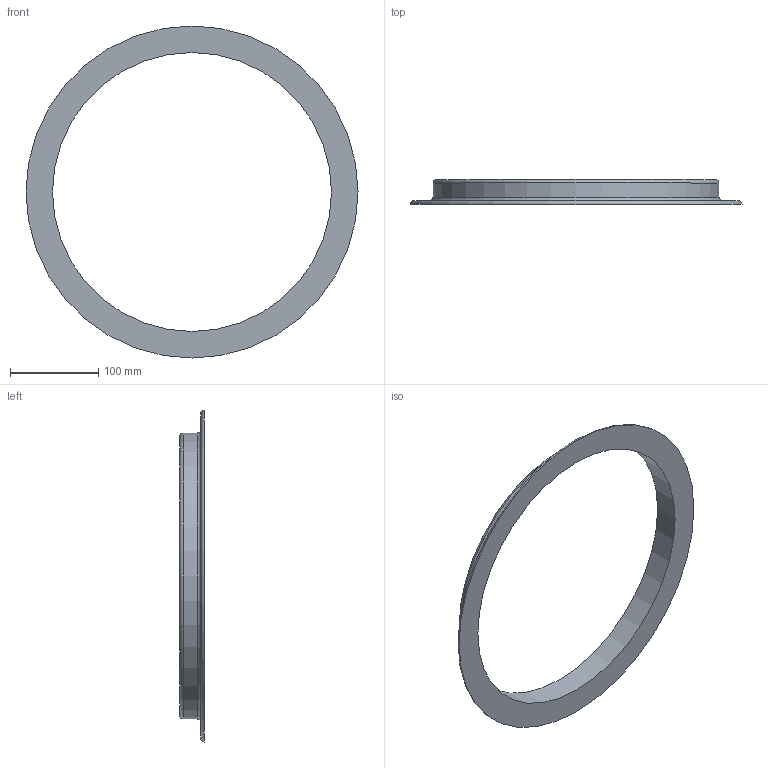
import cadquery as cq

flange_diameter = 376.0
collar_outer_diameter = 323.9
total_length = 28.0
sheet_thickness = 4.0
edge_radius = sheet_thickness

collar_radius = collar_outer_diameter / 2
flange_radius = flange_diameter / 2
bore_radius = collar_radius - sheet_thickness
front_y = -total_length / 2
flange_back_y = front_y + sheet_thickness
collar_end_y = front_y + total_length


def ring_profile():
    """Half section of the ring on its -X side, with the ring axis along Y."""
    return (
        cq.Workplane("XY")
        .moveTo(-bore_radius, front_y)
        .lineTo(-flange_radius, front_y)
        .radiusArc((-flange_radius + edge_radius, flange_back_y), edge_radius)
        .lineTo(-collar_radius - edge_radius, flange_back_y)
        .radiusArc((-collar_radius, flange_back_y + edge_radius), -edge_radius)
        .lineTo(-collar_radius, collar_end_y - edge_radius)
        .radiusArc((-bore_radius, collar_end_y), edge_radius)
        .close()
    )


result = ring_profile().revolve(360, (0, 0, 0), (0, 1, 0))